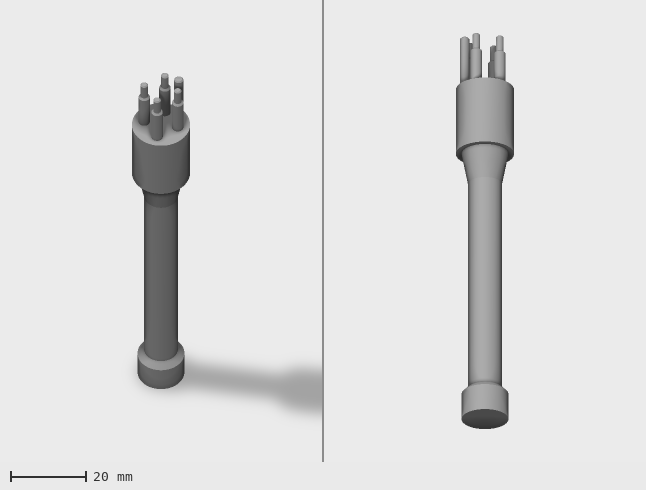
import cadquery as cq

total_length = 111.5

collar_diameter = 12.5
collar_height = 7.4
shaft_diameter = 9.0
collar_taper_top = collar_height + (collar_diameter - shaft_diameter) / 2
neck_bottom = 69.1
neck_top_diameter = collar_diameter
head_bottom = 78.0
head_diameter = 15.5
head_top = 96.9

pin_offset = 3.2
pin_base_diameter = 3.0
pin_tip_diameter = 2.0
pin_step_height = 107.0
pin_step_bevel = (pin_base_diameter - pin_tip_diameter) / 2
pin_top_chamfer = 0.3
key_pin_diameter = 2.5
key_pin_offset = 5.6


def handle():
    """Turned body, revolved about Z from its half profile."""
    profile = [
        (0, 0),
        (collar_diameter / 2, 0),
        (collar_diameter / 2, collar_height),
        (shaft_diameter / 2, collar_taper_top),
        (shaft_diameter / 2, neck_bottom),
        (neck_top_diameter / 2, head_bottom),
        (head_diameter / 2, head_bottom),
        (head_diameter / 2, head_top),
        (0, head_top),
    ]
    return cq.Workplane("XZ").polyline(profile).close().revolve(360, (0, 0), (0, 1))


def chamfered_pin(diameter, bottom, top, x, y, chamfer):
    """Upright cylinder with its top rim chamfered."""
    pin = cq.Workplane("XY", origin=(x, y, bottom)).circle(diameter / 2).extrude(top - bottom)
    return pin.faces(">Z").chamfer(chamfer)


def stepped_pin(x, y):
    """Contact pin whose thick base is bevelled in to meet its thinner tip."""
    base = chamfered_pin(pin_base_diameter, head_top, pin_step_height, x, y, pin_step_bevel)
    tip = chamfered_pin(pin_tip_diameter, head_top, total_length, x, y, pin_top_chamfer)
    return base.union(tip)


result = handle()
for x in (-pin_offset, pin_offset):
    for y in (-pin_offset, pin_offset):
        result = result.union(stepped_pin(x, y))
key_pin = chamfered_pin(key_pin_diameter, head_top, total_length, 0, key_pin_offset, pin_top_chamfer)
result = result.union(key_pin)